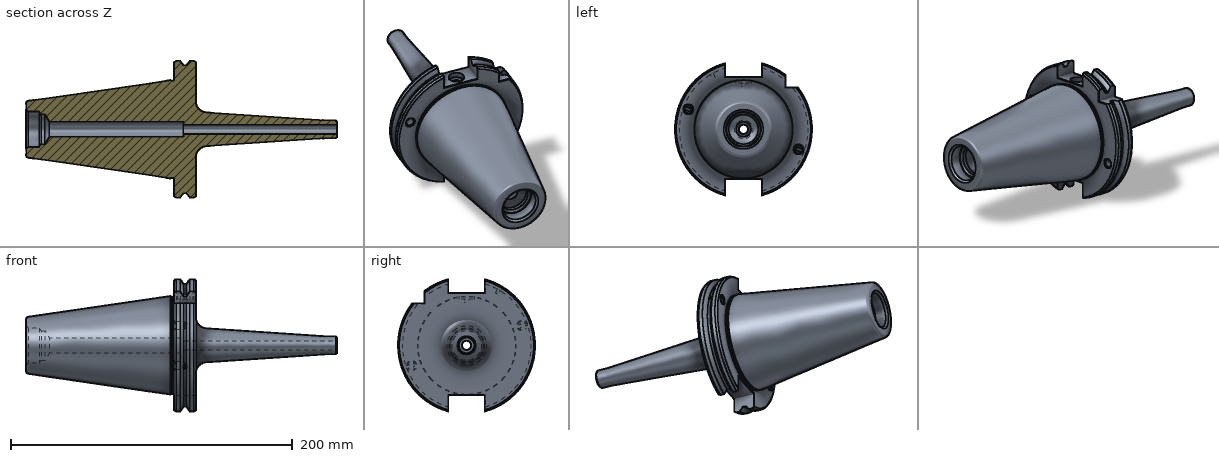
import cadquery as cq
import math


gauge_diameter = 69.85
taper_ratio = 7 / 24
taper_length = 101.75
taper_end_radius = (gauge_diameter - taper_length * taper_ratio) / 2
taper_end_rounding = 2.2

flange_start = 3.2
flange_end = 19.05
flange_radius = 97.5 / 2
flange_chamfer_width = 1.6
flange_chamfer_depth = 1.0
groove_center = 11.1
groove_width = 7.0
groove_floor_radius = 45.6
groove_half_angle = 38
relief_depth = 0.3
relief_start = 0.7
relief_wall = 0.7

tip_end = 119.0
tip_radius = 6.5
tip_length = 8.5
tip_chamfer = 1.0
neck_radius = 12.1
neck_blend_length = 7.9
neck_blend_height = 6.0
neck_blend_radius = 8.0

bore_mouth_diameter = 28.0
pilot_diameter = 25.0
pilot_depth = 9.3
thread_mouth_diameter = 24.0
thread_diameter = 21.0
thread_depth = 13.5
passage_diameter = 10.6
passage_end = 10.0
coolant_diameter = 6.4
drill_half_angle = 59

slot_width = 25.7
top_slot_floor = 37.2
bottom_slot_floor = 35.4
notch_offset = 29.9
slot_corner_radius = 0.5
slot_edge_chamfer = 0.4

data_hole_diameter = 10.9
data_hole_depth = 4.0
data_core_diameter = 4.4
data_core_chamfer = 0.6
data_core_depth = 2.5
inlet_diameter = 7.2
inlet_circle_radius = 41.6
inlet_angle = 20
inlet_chamfer = 0.8
inlet_depth = 7.2
vent_diameter = 2.4
vent_length = 9.0
balance_angle = 60
balance_hole_depth = 3.0


def make_body():
    """Revolve the outer outline about the X axis."""
    groove_depth = flange_radius - groove_floor_radius
    half_mouth = groove_width / 2
    half_floor = half_mouth - groove_depth * math.tan(math.radians(groove_half_angle))
    gauge_radius = gauge_diameter / 2
    relief_radius = gauge_radius - relief_depth
    chamfered_radius = flange_radius - flange_chamfer_depth
    outline = (
        cq.Workplane("XZ")
        .moveTo(-taper_length, 0)
        .lineTo(-taper_length, taper_end_radius)
        .lineTo(relief_start, gauge_radius + relief_start * taper_ratio / 2)
        .lineTo(relief_start + relief_wall, relief_radius)
        .lineTo(flange_start - relief_wall, relief_radius)
        .lineTo(flange_start, gauge_radius)
        .lineTo(flange_start, chamfered_radius)
        .lineTo(flange_start + flange_chamfer_width, flange_radius)
        .lineTo(groove_center - half_mouth, flange_radius)
        .lineTo(groove_center - half_floor, groove_floor_radius)
        .lineTo(groove_center + half_floor, groove_floor_radius)
        .lineTo(groove_center + half_mouth, flange_radius)
        .lineTo(flange_end - flange_chamfer_width, flange_radius)
        .lineTo(flange_end, chamfered_radius)
        .lineTo(flange_end, neck_radius + neck_blend_height)
        .radiusArc((flange_end + neck_blend_length, neck_radius), -neck_blend_radius)
        .lineTo(tip_end - tip_length, tip_radius)
        .lineTo(tip_end - tip_chamfer, tip_radius)
        .lineTo(tip_end, tip_radius - tip_chamfer)
        .lineTo(tip_end, 0)
        .close()
    )
    body = outline.revolve(360, (0, 0, 0), (1, 0, 0))
    return body.faces("<X").edges().fillet(taper_end_rounding)


def make_bore():
    """Revolved cutter: chamfered mouth, pilot, threaded section, drill cone and coolant passage."""
    mouth_radius = bore_mouth_diameter / 2
    pilot_radius = pilot_diameter / 2
    thread_mouth_radius = thread_mouth_diameter / 2
    thread_radius = thread_diameter / 2
    passage_radius = passage_diameter / 2
    coolant_radius = coolant_diameter / 2
    cone_length = (thread_radius - passage_radius) / math.tan(math.radians(drill_half_angle))
    face = -taper_length
    return (
        cq.Workplane("XZ")
        .moveTo(face, 0)
        .lineTo(face, mouth_radius)
        .lineTo(face + mouth_radius - pilot_radius, pilot_radius)
        .lineTo(face + pilot_depth, pilot_radius)
        .lineTo(face + pilot_depth, thread_mouth_radius)
        .lineTo(face + pilot_depth + thread_mouth_radius - thread_radius, thread_radius)
        .lineTo(face + thread_depth, thread_radius)
        .lineTo(face + thread_depth + cone_length, passage_radius)
        .lineTo(passage_end, passage_radius)
        .lineTo(passage_end, coolant_radius)
        .lineTo(tip_end, coolant_radius)
        .lineTo(tip_end, 0)
        .close()
        .revolve(360, (0, 0, 0), (1, 0, 0))
    )


def slot_cutter(y_center, floor, width):
    """Slot open toward +Z, with rounded floor corners and a chamfered edge on the taper side."""
    height = flange_radius
    z_center = floor + height / 2
    channel = (
        cq.Workplane("YZ", origin=(flange_start, y_center, z_center))
        .rect(width, height)
        .extrude(flange_end - flange_start)
        .edges("|X")
        .fillet(slot_corner_radius)
    )
    edge_break = (
        cq.Workplane("YZ", origin=(flange_start, y_center, z_center))
        .rect(width + 2 * slot_edge_chamfer, height + 2 * slot_edge_chamfer)
        .extrude(slot_edge_chamfer, taper=45)
    )
    return channel.union(edge_break)


def radial_hole(angle, outer_radius, depth, diameter):
    """Radial cylinder in the groove plane; angle runs from +Y toward +Z."""
    direction = cq.Vector(0, math.cos(math.radians(angle)), math.sin(math.radians(angle)))
    start = cq.Vector(groove_center, 0, 0) + direction * outer_radius
    return cq.Workplane(cq.Solid.makeCylinder(diameter / 2, depth, start, direction * -1))


def blind_hole(mouth_diameter, chamfer, depth):
    """Cutter along +X from the origin: chamfered mouth, straight wall and drill-point floor."""
    mouth_radius = mouth_diameter / 2
    hole_radius = mouth_radius - chamfer
    point_length = hole_radius / math.tan(math.radians(drill_half_angle))
    return (
        cq.Workplane("XY")
        .lineTo(0, mouth_radius)
        .lineTo(chamfer, hole_radius)
        .lineTo(depth, hole_radius)
        .lineTo(depth + point_length, 0)
        .close()
        .revolve(360, (0, 0, 0), (1, 0, 0))
    )


def cut_slots(body):
    """Cut the two unequal key slots and the corner orientation notch."""
    bottom_slot = slot_cutter(0, bottom_slot_floor, slot_width).rotate((0, 0, 0), (1, 0, 0), 180)
    notch_center = -notch_offset - flange_radius / 2
    body = body.cut(slot_cutter(0, top_slot_floor, slot_width))
    body = body.cut(bottom_slot)
    return body.cut(slot_cutter(notch_center, notch_offset, flange_radius))


def cut_flange_holes(body):
    """Cut the data-carrier hole, the coolant inlets with their vents and the balance hole."""
    body = body.cut(radial_hole(90, top_slot_floor, data_hole_depth, data_hole_diameter))
    core = blind_hole(data_core_diameter, data_core_chamfer, data_core_depth)
    core = core.rotate((0, 0, 0), (0, 1, 0), 90)
    body = body.cut(core.translate((groove_center, 0, top_slot_floor - data_hole_depth)))
    inlet = blind_hole(inlet_diameter, inlet_chamfer, inlet_depth)
    inlet = inlet.translate((flange_start, inlet_circle_radius, 0))
    for angle in (inlet_angle, inlet_angle + 180):
        body = body.cut(inlet.rotate((0, 0, 0), (1, 0, 0), angle))
        body = body.cut(radial_hole(angle, flange_radius, vent_length, vent_diameter))
    balance_length = flange_radius - groove_floor_radius + balance_hole_depth
    return body.cut(radial_hole(balance_angle, flange_radius, balance_length, vent_diameter))


holder = make_body().cut(make_bore())
holder = cut_slots(holder)
result = cut_flange_holes(holder)